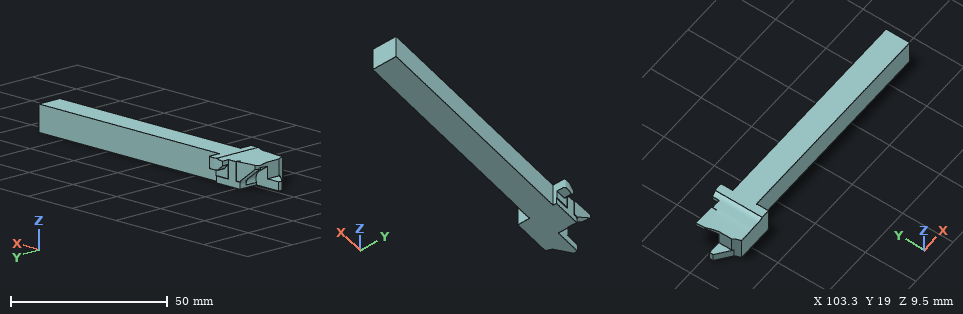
import cadquery as cq

total_length = 103.3
shank_size = 9.5
shank_half = shank_size / 2

head_back = 20.9
head_side = 9.5
shoulder_front = 15.3
tip_x = 3.0
tip_y = 6.3
nose_x = 5.1
front_corner_x = 6.4
front_blend_x = 6.1
front_blend_y = -8.6
nose_low_y = -6.4
nose_blend_middle = (5.7, -7.4)
front_edge_middle = (4.3, 1.4)

seat_top = 8.7
ledge_top = 8.9
seat_end = 9.3
ledge_start = 12.1
shoulder_top_start = 17.5
rise_sag = 0.1
ledge_rise_middle = ((seat_end + ledge_start) / 2, (seat_top + ledge_top - rise_sag) / 2)
shoulder_rise_middle = (16.4, 9.1)
cut_margin = 1.0

rake_inner_y = 3.2
rake_end = 11.7
rake_front_rise = shank_size - seat_top
rake_back_rise = 0.4

relief_y = -1.3
tip_bottom = 8.1
tip_bend_x = 9.3
tip_bend_z = 3.2
inner_bottom = 8.5
inner_bend_x = 8.8
inner_bend_z = 5.0
relief_wall_x = 10.1
relief_wall_top = 0.9
base_y = 6.1
base_top = 2.5

wing_bottom = 5.6
wing_lip_z = 7.3
wing_slope_end = 17.0
wing_front_y = 8.8
wing_flat_start = 18.6
wing_round = 0.7

foot_height = 3.1
foot_flat_end = -2.9
foot_root_x = 5.9
foot_root_y = -7.4


def plan_prism(outline, height):
    """Extrude a closed XY outline upward from the bottom face."""
    return outline.close().extrude(height)


def side_prism(outline, y_low, y_high):
    """Extrude a closed XZ outline between two Y positions."""
    return outline.close().extrude(y_low - y_high).translate((0, y_low, 0))


def make_seat():
    outline = (
        cq.Workplane("XY")
        .moveTo(head_back, -head_side)
        .lineTo(front_corner_x, -head_side)
        .lineTo(front_blend_x, front_blend_y)
        .threePointArc(nose_blend_middle, (nose_x, nose_low_y))
        .lineTo(nose_x, relief_y)
        .threePointArc(front_edge_middle, (3.7, rake_inner_y))
        .lineTo(tip_x, tip_y)
        .lineTo(head_back, tip_y)
    )
    return plan_prism(outline, shank_size)


def make_wing():
    plan = (
        cq.Workplane("XY")
        .moveTo(shoulder_front, 0)
        .lineTo(shoulder_front, wing_front_y)
        .lineTo(wing_flat_start, head_side)
        .lineTo(head_back - wing_round, head_side)
        .radiusArc((head_back, head_side - wing_round), wing_round)
        .lineTo(head_back, 0)
    )
    side = (
        cq.Workplane("XZ")
        .moveTo(shoulder_front, shank_size)
        .lineTo(shoulder_front, wing_lip_z)
        .lineTo(wing_slope_end, wing_bottom)
        .lineTo(head_back, wing_bottom)
        .lineTo(head_back, shank_size)
    )
    return plan_prism(plan, shank_size).intersect(side_prism(side, 0, head_side))


def make_top_cut():
    """Space above the flat seat, the ledge and the two concave rises."""
    outline = (
        cq.Workplane("XZ")
        .moveTo(0, seat_top)
        .lineTo(seat_end, seat_top)
        .threePointArc(ledge_rise_middle, (ledge_start, ledge_top))
        .lineTo(shoulder_front, ledge_top)
        .threePointArc(shoulder_rise_middle, (shoulder_top_start, shank_size))
        .lineTo(shoulder_top_start, shank_size + cut_margin)
        .lineTo(0, shank_size + cut_margin)
    )
    return side_prism(outline, -head_side, head_side)


def make_rake():
    """Facet rising toward the tip side and fading toward the shank."""
    width = tip_y - rake_inner_y
    wedge = (
        cq.Workplane("YZ", origin=(tip_x, rake_inner_y, seat_top))
        .polyline([(0, 0), (width, 0), (width, rake_front_rise)])
        .close()
        .workplane(offset=rake_end - tip_x)
        .polyline([(0, 0), (width, 0), (width, rake_back_rise)])
        .close()
        .loft(ruled=True)
    )
    return wedge.intersect(make_seat())


def make_relief(start_z, bend_x, bend_z, y_low, y_high):
    """Space below a sloping underside that curves down into an upright wall."""
    outline = (
        cq.Workplane("XZ")
        .moveTo(0, 0)
        .lineTo(0, start_z)
        .lineTo(tip_x, start_z)
        .lineTo(bend_x, bend_z)
        .tangentArcPoint((relief_wall_x, relief_wall_top), relative=False)
        .lineTo(relief_wall_x, 0)
    )
    return side_prism(outline, y_low, y_high)


def make_base_step():
    """Set the low base and the full height of the ledge in from the tip side."""
    step_width = head_side - base_y
    low_step = cq.Workplane("XY").box(head_back, step_width, base_top, centered=False)
    ledge_step = (
        cq.Workplane("XY")
        .box(shoulder_front - rake_end, step_width, shank_size, centered=False)
        .translate((rake_end, 0, 0))
    )
    return low_step.union(ledge_step).translate((0, base_y, 0))


def make_foot():
    outline = cq.Workplane("XY").polyline([
        (0, relief_y),
        (0, foot_flat_end),
        (foot_root_x, foot_root_y),
        (foot_root_x, relief_y),
    ])
    return plan_prism(outline, foot_height)


def make_shank():
    return cq.Workplane("XY").box(
        total_length - shoulder_top_start, shank_size, shank_size, centered=False
    ).translate((shoulder_top_start, -shank_half, 0))


head = make_seat().union(make_wing()).cut(make_top_cut()).union(make_rake())
head = head.cut(make_relief(tip_bottom, tip_bend_x, tip_bend_z, rake_inner_y, head_side))
head = head.cut(make_relief(inner_bottom, inner_bend_x, inner_bend_z, relief_y, rake_inner_y))
head = head.cut(make_base_step())
result = head.union(make_foot()).union(make_shank())